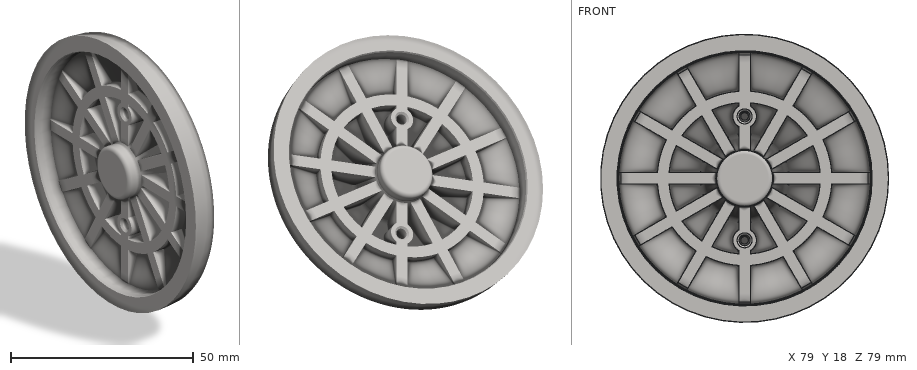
import cadquery as cq
import math


RIM_RADIUS = 39.5
HEIGHT = 18.0
LIP_HEIGHT = 0.55
WALL_DRAFT = 4.0
SHOULDER_HEIGHT = 7.0
SHOULDER_FILLET = 3.95
CROWN_RADIUS = 20.3
CROWN_HEIGHT = 15.95
CROWN_FILLET = 3.15
TOP_RADIUS = 8.3

MOUTH_RADIUS = 35.0
MOUTH_CHAMFER = 0.2
CAVITY_WALL_RADIUS = 34.5
CAVITY_WALL_DEPTH = 5.2
CAVITY_TOP_DEPTH = 12.3

RIB_PLANE = 4.8
RIB_FOOT_FILLET = 0.2
RIB_COUNT = 12
RIB_WIDTH = 3.15
RIB_FLAT_RADIUS = 33.9
RIB_END_DEPTH = 5.05
RING_INNER_RADIUS = 20.8
RING_OUTER_RADIUS = 23.9

HUB_FACE = 0.7
HUB_RADIUS = 7.7
HUB_CONE_START = 4.3
HUB_FILLET = 1.1
HUB_BASE_RADIUS = 11.4
HUB_BASE_FILLET = 1.1

BOSS_OFFSET = 17.0
BOSS_RADIUS = 3.2
HOLE_MOUTH_RADIUS = 2.05
HOLE_RADIUS = 1.5
HOLE_END_RADIUS = 1.0
HOLE_DEPTH = 6.3

BOSS_CENTRES = [(0, BOSS_OFFSET), (0, -BOSS_OFFSET)]


def revolved(points):
    """Solid of revolution about Z from (radius, height) points."""
    return cq.Workplane("XZ").polyline(points).close().revolve(360, (0, 0), (0, 1))


def edge_at(radius, height):
    """Selector box around the circular edge of the given radius and height."""
    reach = radius + 0.1
    return cq.selectors.BoxSelector(
        (-reach, -reach, height - 0.1), (reach, reach, height + 0.1), boundingbox=True
    )


def outer_dome():
    shoulder_radius = RIM_RADIUS - (SHOULDER_HEIGHT - LIP_HEIGHT) * math.tan(math.radians(WALL_DRAFT))
    dome = revolved([
        (0, 0),
        (RIM_RADIUS, 0),
        (RIM_RADIUS, LIP_HEIGHT),
        (shoulder_radius, SHOULDER_HEIGHT),
        (CROWN_RADIUS, CROWN_HEIGHT),
        (TOP_RADIUS, HEIGHT),
        (0, HEIGHT),
    ])
    dome = dome.edges(edge_at(shoulder_radius, SHOULDER_HEIGHT)).fillet(SHOULDER_FILLET)
    return dome.edges(edge_at(CROWN_RADIUS, CROWN_HEIGHT)).fillet(CROWN_FILLET)


def floor_depth(radius):
    """Depth of the conical cavity floor at a radius."""
    slope = (CAVITY_TOP_DEPTH - CAVITY_WALL_DEPTH) / (CAVITY_WALL_RADIUS - HUB_BASE_RADIUS)
    return CAVITY_WALL_DEPTH + (CAVITY_WALL_RADIUS - radius) * slope


def cavity():
    """Full cavity around the hub, as if there were no ribs."""
    hollow = revolved([
        (0, 0),
        (MOUTH_RADIUS, 0),
        (MOUTH_RADIUS - MOUTH_CHAMFER, LIP_HEIGHT),
        (CAVITY_WALL_RADIUS, CAVITY_WALL_DEPTH),
        (HUB_BASE_RADIUS, CAVITY_TOP_DEPTH),
        (HUB_RADIUS, HUB_CONE_START),
        (HUB_RADIUS, HUB_FACE),
        (0, HUB_FACE),
    ])
    hollow = hollow.edges(edge_at(HUB_RADIUS, HUB_FACE)).fillet(HUB_FILLET)
    return hollow.edges(edge_at(HUB_BASE_RADIUS, CAVITY_TOP_DEPTH)).fillet(HUB_BASE_FILLET)


def open_space():
    """Space in front of the rib face, which steps down a little at the cavity wall."""
    return revolved([
        (0, 0),
        (RIM_RADIUS, 0),
        (RIM_RADIUS, RIB_END_DEPTH),
        (CAVITY_WALL_RADIUS, RIB_END_DEPTH),
        (RIB_FLAT_RADIUS, RIB_PLANE),
        (0, RIB_PLANE),
    ])


def pocket_blank():
    """Wedge between two neighbouring spokes, closed by the conical floor."""
    pitch = 2 * math.pi / RIB_COUNT
    apex_distance = RIB_WIDTH / 2 / math.sin(pitch / 2)
    apex_x = apex_distance * math.cos(pitch / 2)
    apex_y = apex_distance * math.sin(pitch / 2)
    wedge = (
        cq.Workplane("XY")
        .moveTo(apex_x, apex_y)
        .lineTo(apex_x + RIM_RADIUS, apex_y)
        .lineTo(apex_x + RIM_RADIUS * math.cos(pitch), apex_y + RIM_RADIUS * math.sin(pitch))
        .close()
        .extrude(HEIGHT)
    )
    floor_cone = revolved([
        (0, 0),
        (RIM_RADIUS, 0),
        (RIM_RADIUS, floor_depth(RIM_RADIUS)),
        (0, floor_depth(0)),
    ])
    return wedge.intersect(floor_cone)


def disc(radius):
    return cq.Workplane("XY").circle(radius).extrude(HEIGHT)


def rounded_floor(pocket):
    return pocket.faces("%CONE").edges().fillet(RIB_FOOT_FILLET)


def turned(solid, angle):
    return solid.rotate((0, 0, 0), (0, 0, 1), angle)


def pockets():
    """Cutters for every pocket; the second half of the circle repeats the first."""
    bosses = cq.Workplane("XY").pushPoints(BOSS_CENTRES).circle(BOSS_RADIUS).extrude(HEIGHT)
    blank = pocket_blank()
    outer = rounded_floor(blank.cut(disc(RING_OUTER_RADIUS)))
    inner = blank.intersect(disc(RING_INNER_RADIUS))
    cutters = []
    for i in range(RIB_COUNT // 2):
        angle = i * 360 / RIB_COUNT
        inner_cutter = rounded_floor(turned(inner, angle).cut(bosses))
        for half_turn in (0, 180):
            cutters.append(turned(outer, angle + half_turn))
            cutters.append(turned(inner_cutter, half_turn))
    return cutters


def screw_hole(centre):
    chamfer_end = RIB_PLANE + HOLE_MOUTH_RADIUS - HOLE_RADIUS
    hole = revolved([
        (0, RIB_PLANE),
        (HOLE_MOUTH_RADIUS, RIB_PLANE),
        (HOLE_RADIUS, chamfer_end),
        (HOLE_END_RADIUS, RIB_PLANE + HOLE_DEPTH),
        (0, RIB_PLANE + HOLE_DEPTH),
    ])
    return hole.translate((*centre, 0))


hollow = cavity()
body = outer_dome().cut(hollow.intersect(open_space()))
for pocket in pockets():
    body = body.cut(hollow.intersect(pocket))
for boss_centre in BOSS_CENTRES:
    body = body.cut(screw_hole(boss_centre))

result = body.rotate((0, 0, 0), (1, 0, 0), -90)